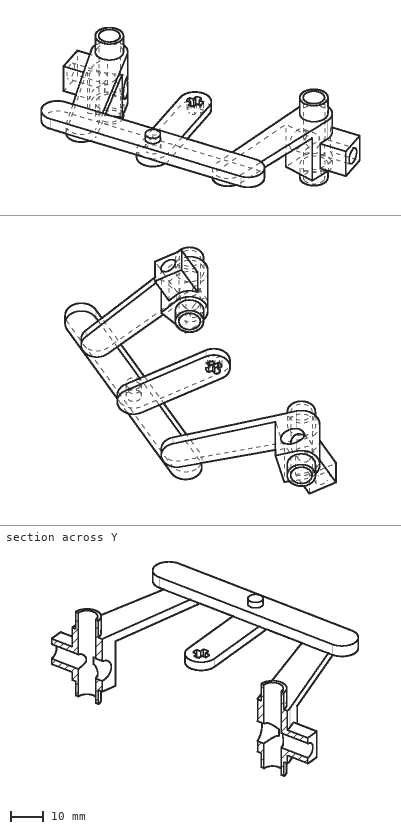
import cadquery as cq
import math


overall_length = 96.8

knuckle_bottom = 5.0
arm_top = 24.0
arm_thickness = 3.0
bar_thickness = 3.8
tube_top = 30.0
pin_projection = 1.9
arm_bottom = arm_top - arm_thickness
bar_top = arm_top + bar_thickness

bar_length = 75.3
bar_width = 10.0
pin_hole_diameter = 4.7

knuckle_x = 35.0
knuckle_y = 39.0
knuckle_radius = 5.6
pivot_x = 25.1
pivot_y = 1.2
pivot_radius = 4.7
knuckle_reach = 6.8

tube_diameter = 8.6
tube_bore = 6.5

stub_side = 9.3
stub_bore = 5.0
inner_bore = 7.0
stub_z = 12.5

lever_width = bar_width
lever_reach = 28.0
pin_diameter = 4.6
cross_diameter = 5.0
cross_slot = 1.8


def tapered_outline(start, start_radius, end, end_radius):
    """Sketch outline of two circles joined by their outer tangents."""
    dx = end[0] - start[0]
    dy = end[1] - start[1]
    heading = math.atan2(dy, dx)
    tangent_angle = math.acos((start_radius - end_radius) / math.hypot(dx, dy))

    def on_circle(centre, radius, angle):
        return (centre[0] + radius * math.cos(angle), centre[1] + radius * math.sin(angle))

    left = heading + tangent_angle
    right = heading - tangent_angle
    return (
        cq.Workplane("XY")
        .moveTo(*on_circle(start, start_radius, left))
        .threePointArc(
            on_circle(start, start_radius, heading + math.pi),
            on_circle(start, start_radius, right),
        )
        .lineTo(*on_circle(end, end_radius, right))
        .threePointArc(on_circle(end, end_radius, heading), on_circle(end, end_radius, left))
        .close()
    )


def axle_plane(side):
    """Workplane across the axle, centred on the kingpin axis, with its normal along +X."""
    return cq.Workplane("YZ", origin=(side * knuckle_x, knuckle_y, stub_z))


def make_steering_arm(side):
    """Arm with knuckle, kingpin tube and axle stub; side is -1 for -X and +1 for +X."""
    kingpin = (side * knuckle_x, knuckle_y)
    pivot = (side * pivot_x, pivot_y)
    heading = math.degrees(math.atan2(pivot[1] - kingpin[1], pivot[0] - kingpin[0]))

    arm = tapered_outline(kingpin, knuckle_radius, pivot, pivot_radius).extrude(arm_top - knuckle_bottom)
    arm = arm.translate((0, 0, knuckle_bottom))
    relief = (
        cq.Workplane("XY")
        .rect(overall_length, overall_length)
        .extrude(arm_bottom - knuckle_bottom)
        .translate((knuckle_reach + overall_length / 2, 0, knuckle_bottom))
        .rotate((0, 0, 0), (0, 0, 1), heading)
        .translate((*kingpin, 0))
    )
    arm = arm.cut(relief)

    stub_length = overall_length / 2 - knuckle_x
    stub = cq.Workplane("XY").box(stub_length, stub_side, stub_side)
    stub = stub.translate((side * (knuckle_x + stub_length / 2), knuckle_y, stub_z))
    tube = cq.Workplane("XY").center(*kingpin).circle(tube_diameter / 2).extrude(tube_top)
    arm = arm.union(stub).union(tube)

    kingpin_bore = cq.Workplane("XY").center(*kingpin).circle(tube_bore / 2).extrude(tube_top)
    stub_bore_cut = axle_plane(side).circle(stub_bore / 2).extrude(side * stub_length)
    inner_bore_cut = axle_plane(side).circle(inner_bore / 2).extrude(-side * 2 * knuckle_radius)
    return arm.cut(kingpin_bore).cut(stub_bore_cut).cut(inner_bore_cut)


def make_frame():
    """Cross bar carrying both steering arms."""
    bar = (
        cq.Workplane("XY", origin=(0, 0, arm_top))
        .slot2D(bar_length, bar_width)
        .circle(pin_hole_diameter / 2)
        .extrude(bar_thickness)
    )
    for side in (-1, 1):
        bar = bar.union(make_steering_arm(side))
    return bar


def make_centre_lever():
    """Lever under the bar, with a pin up through the bar and a cross-shaped axle hole."""
    lever = (
        cq.Workplane("XY", origin=(0, lever_reach / 2, arm_bottom))
        .slot2D(lever_reach + lever_width, lever_width, 90)
        .extrude(arm_thickness)
    )
    pin = (
        cq.Workplane("XY", origin=(0, 0, arm_bottom))
        .circle(pin_diameter / 2)
        .extrude(bar_top + pin_projection - arm_bottom)
    )

    cross_plane = cq.Workplane("XY", origin=(0, lever_reach, arm_bottom))
    slots = cross_plane.rect(cross_diameter, cross_slot).extrude(arm_thickness)
    slots = slots.union(cross_plane.rect(cross_slot, cross_diameter).extrude(arm_thickness))
    cross_hole = cross_plane.circle(cross_diameter / 2).extrude(arm_thickness).intersect(slots)
    return lever.union(pin).cut(cross_hole)


frame = make_frame()
centre_lever = make_centre_lever()

result = cq.Compound.makeCompound([frame.solids().val(), centre_lever.solids().val()])